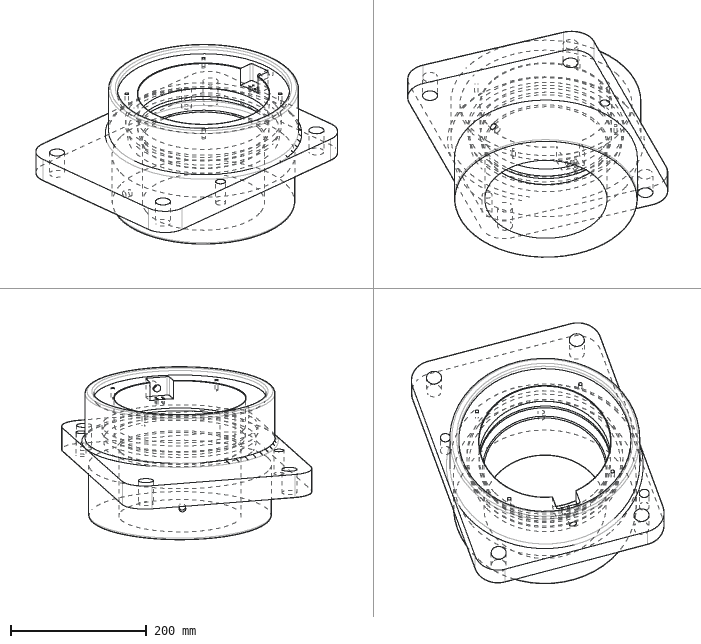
import cadquery as cq
import math

PLATE_WIDTH = 290.0
PLATE_LENGTH = 380.0
PLATE_THICKNESS = 35.5
TOTAL_HEIGHT = 190.0
PLATE_BACK_EDGE = 155.0
PLATE_CORNER_RADIUS = 35.0

UPPER_HEIGHT = 76.5
UPPER_DIAMETER = 280.0
UPPER_RADIUS = UPPER_DIAMETER / 2
LOWER_RADIUS = 135.0
RIM_FILLET = 3.0
ROOT_FILLET = 5.0
FOOT_CHAMFER_HEIGHT = 2.5
FOOT_CHAMFER_DEPTH = 0.8

RECESS_RADIUS = 127.0
RECESS_DEPTH = 10.0
BORE_RADIUS = 97.0
BORE_EDGE_CHAMFER = 0.8
GROOVE_RADIUS = 115.0
GROOVE_TOP_DEPTH = 52.0
GROOVE_FLOOR_DEPTH = 65.5
GROOVE_FLOOR_ANGLE = 12.0
RING_THICKNESS = 5.0
CHAMBER_RADIUS = 111.7
CHAMBER_FILLET = 4.5
CHAMBER_DEPTH = 85.5
OUTLET_RADIUS = 90.0
OUTLET_CHAMFER = 2.0

POCKET_WIDTH = 36.0
POCKET_REACH = 118.0
POCKET_CORNER_RADIUS = 3.0
POCKET_DEPTH = 38.0
CABLE_HOLE_RADIUS = 5.5
CABLE_HOLE_DEPTH = 26.5
PIN_HOLE_DEPTH = 7.5
PIN_HOLE_RADIUS = 1.33
PIN_HOLE_X = 5.0
PIN_HOLE_ROWS = (102.0, 108.5)

LEDGE_HOLE_OFFSET = 79.8
LEDGE_HOLE_RADIUS = 2.47
LEDGE_HOLE_DEPTH = 15.2
MOUNT_HOLE_X = 110.2
MOUNT_HOLE_INSET = 30.0
MOUNT_HOLE_RADIUS = 11.0
DOWEL_HOLE_X = 125.5
DOWEL_HOLE_Y = 90.0
DOWEL_HOLE_RADIUS = 7.2
SIDE_HOLE_ANGLE = 15.0
SIDE_HOLE_DROP = 142.0
SIDE_HOLE_RADIUS = 5.0
SIDE_HOLE_DEPTH = 10.3
DRILL_POINT_ANGLE = 118.0

TOP = UPPER_HEIGHT
BOTTOM = TOP - TOTAL_HEIGHT
PLATE_FRONT_EDGE = PLATE_BACK_EDGE - PLATE_LENGTH
OVERLAP = 3.8


def upright_hole(x, y, radius, z_bottom, z_top):
    return cq.Workplane("XY", origin=(x, y, z_bottom)).circle(radius).extrude(z_top - z_bottom)


def blind_hole(radius, depth):
    """Drilled hole opening at the origin and running down -Z to a conical tip."""
    tip_length = radius / math.tan(math.radians(DRILL_POINT_ANGLE / 2))
    return (
        cq.Workplane("XZ")
        .moveTo(0, OVERLAP)
        .lineTo(radius, OVERLAP)
        .lineTo(radius, -depth)
        .lineTo(0, -depth - tip_length)
        .close()
        .revolve(360, (0, 0), (0, 1))
    )


def make_plate():
    center_y = (PLATE_BACK_EDGE + PLATE_FRONT_EDGE) / 2
    return (
        cq.Workplane("XY", origin=(0, center_y, -PLATE_THICKNESS))
        .rect(PLATE_WIDTH, PLATE_LENGTH)
        .extrude(PLATE_THICKNESS)
        .edges("|Z")
        .fillet(PLATE_CORNER_RADIUS)
    )


def make_housing():
    rim_start = (UPPER_RADIUS, TOP - RIM_FILLET)
    rim_end = (UPPER_RADIUS - RIM_FILLET, TOP)
    root_start = (UPPER_RADIUS + ROOT_FILLET, 0)
    root_end = (UPPER_RADIUS, ROOT_FILLET)
    return (
        cq.Workplane("XZ")
        .moveTo(0, BOTTOM)
        .lineTo(LOWER_RADIUS - FOOT_CHAMFER_DEPTH, BOTTOM)
        .lineTo(LOWER_RADIUS, BOTTOM + FOOT_CHAMFER_HEIGHT)
        .lineTo(LOWER_RADIUS, -PLATE_THICKNESS)
        .lineTo(UPPER_RADIUS, -PLATE_THICKNESS)
        .lineTo(*root_start)
        .radiusArc(root_end, ROOT_FILLET)
        .lineTo(*rim_start)
        .radiusArc(rim_end, -RIM_FILLET)
        .lineTo(0, TOP)
        .close()
        .revolve(360, (0, 0), (0, 1))
    )


def make_interior():
    ledge = TOP - RECESS_DEPTH
    groove_floor = TOP - GROOVE_FLOOR_DEPTH
    groove_rise = (GROOVE_RADIUS - BORE_RADIUS) * math.tan(math.radians(GROOVE_FLOOR_ANGLE))
    ring_bottom = groove_floor - RING_THICKNESS
    floor = TOP - CHAMBER_DEPTH
    mouth_start = (RECESS_RADIUS + RIM_FILLET, TOP)
    mouth_end = (RECESS_RADIUS, TOP - RIM_FILLET)
    fillet_start = (CHAMBER_RADIUS, floor + CHAMBER_FILLET)
    fillet_end = (CHAMBER_RADIUS - CHAMBER_FILLET, floor)
    return (
        cq.Workplane("XZ")
        .moveTo(0, TOP)
        .lineTo(*mouth_start)
        .radiusArc(mouth_end, -RIM_FILLET)
        .lineTo(RECESS_RADIUS, ledge)
        .lineTo(BORE_RADIUS + BORE_EDGE_CHAMFER, ledge)
        .lineTo(BORE_RADIUS, ledge - BORE_EDGE_CHAMFER)
        .lineTo(BORE_RADIUS, TOP - GROOVE_TOP_DEPTH)
        .lineTo(GROOVE_RADIUS, TOP - GROOVE_TOP_DEPTH)
        .lineTo(GROOVE_RADIUS, groove_floor + groove_rise)
        .lineTo(BORE_RADIUS, groove_floor)
        .lineTo(BORE_RADIUS, ring_bottom)
        .lineTo(CHAMBER_RADIUS, ring_bottom)
        .lineTo(*fillet_start)
        .radiusArc(fillet_end, CHAMBER_FILLET)
        .lineTo(OUTLET_RADIUS + OUTLET_CHAMFER, floor)
        .lineTo(OUTLET_RADIUS, floor - OUTLET_CHAMFER)
        .lineTo(OUTLET_RADIUS, BOTTOM)
        .lineTo(0, BOTTOM)
        .close()
        .revolve(360, (0, 0), (0, 1))
    )


def make_pocket():
    pocket_floor = TOP - POCKET_DEPTH
    pocket = (
        cq.Workplane("XY", origin=(0, POCKET_REACH / 2, pocket_floor))
        .rect(POCKET_WIDTH, POCKET_REACH)
        .extrude(POCKET_DEPTH)
        .edges("|Z and >Y")
        .fillet(POCKET_CORNER_RADIUS)
    )
    cable_hole = (
        cq.Workplane("XZ", origin=(0, UPPER_RADIUS + OVERLAP, TOP - CABLE_HOLE_DEPTH))
        .circle(CABLE_HOLE_RADIUS)
        .extrude(UPPER_RADIUS + OVERLAP - BORE_RADIUS)
    )
    pocket = pocket.union(cable_hole)
    pin_hole = blind_hole(PIN_HOLE_RADIUS, PIN_HOLE_DEPTH)
    for x in (-PIN_HOLE_X, PIN_HOLE_X):
        for y in PIN_HOLE_ROWS:
            pocket = pocket.union(pin_hole.translate((x, y, pocket_floor)))
    return pocket


def make_upright_holes():
    holes = cq.Workplane("XY")
    ledge = TOP - RECESS_DEPTH
    ledge_hole = blind_hole(LEDGE_HOLE_RADIUS, LEDGE_HOLE_DEPTH)
    through = (-PLATE_THICKNESS - OVERLAP, OVERLAP)
    for x_side in (-1, 1):
        for y_side in (-1, 1):
            x = x_side * LEDGE_HOLE_OFFSET
            y = y_side * LEDGE_HOLE_OFFSET
            holes = holes.union(ledge_hole.translate((x, y, ledge)))
        for y in (PLATE_BACK_EDGE - MOUNT_HOLE_INSET, PLATE_FRONT_EDGE + MOUNT_HOLE_INSET):
            holes = holes.union(upright_hole(x_side * MOUNT_HOLE_X, y, MOUNT_HOLE_RADIUS, *through))
        x = x_side * DOWEL_HOLE_X
        y = -x_side * DOWEL_HOLE_Y
        holes = holes.union(upright_hole(x, y, DOWEL_HOLE_RADIUS, *through))
    return holes


def make_side_hole():
    return (
        blind_hole(SIDE_HOLE_RADIUS, SIDE_HOLE_DEPTH)
        .rotate((0, 0, 0), (1, 0, 0), 90)
        .translate((0, -LOWER_RADIUS, TOP - SIDE_HOLE_DROP))
        .rotate((0, 0, 0), (0, 0, 1), -SIDE_HOLE_ANGLE)
    )


result = (
    make_plate()
    .union(make_housing())
    .cut(make_interior())
    .cut(make_pocket())
    .cut(make_upright_holes())
    .cut(make_side_hole())
)